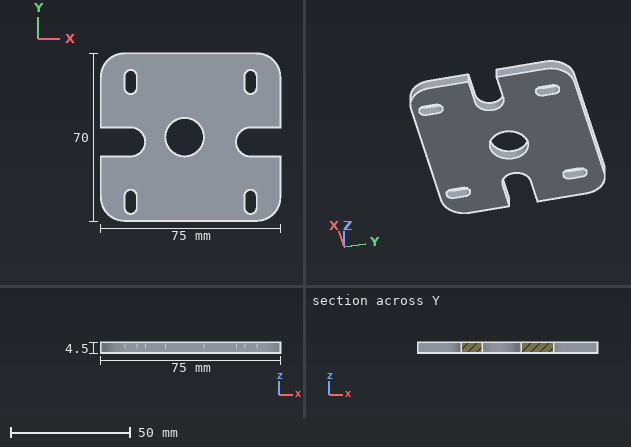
import cadquery as cq

plate_length = 75.0
plate_width = 70.0
plate_thickness = 4.5
corner_radius = 10.0

hole_diameter = 16.0
hole_offset_x = -2.5

pattern_offset_y = -2.0

slot_pitch = 50.0
slot_length = 10.0
slot_width = 5.0

notch_width = 12.0
notch_tip_x = 19.0


def make_plate():
    """Flat plate with rounded vertical corners, resting on Z = 0."""
    plate = cq.Workplane("XY").rect(plate_length, plate_width).extrude(plate_thickness)
    return plate.edges("|Z").fillet(corner_radius)


def make_hole():
    """Cutter for the round through hole."""
    return cq.Workplane("XY").center(hole_offset_x, 0).circle(hole_diameter / 2).extrude(plate_thickness)


def make_slots():
    """Cutters for the four mounting slots."""
    return (
        cq.Workplane("XY")
        .center(0, pattern_offset_y)
        .rect(slot_pitch, slot_pitch, forConstruction=True)
        .vertices()
        .slot2D(slot_length, slot_width, angle=90)
        .extrude(plate_thickness)
    )


def make_notch(side):
    """Cutter for one edge notch; side is -1 for the left edge and +1 for the right."""
    radius = notch_width / 2
    edge_x = side * plate_length / 2
    arc_center_x = side * (notch_tip_x + radius)
    top_y = pattern_offset_y + radius
    bottom_y = pattern_offset_y - radius
    return (
        cq.Workplane("XY")
        .moveTo(edge_x, top_y)
        .lineTo(arc_center_x, top_y)
        .threePointArc((side * notch_tip_x, pattern_offset_y), (arc_center_x, bottom_y))
        .lineTo(edge_x, bottom_y)
        .close()
        .extrude(plate_thickness)
    )


result = make_plate().cut(make_hole()).cut(make_slots())
for side in (-1, 1):
    result = result.cut(make_notch(side))